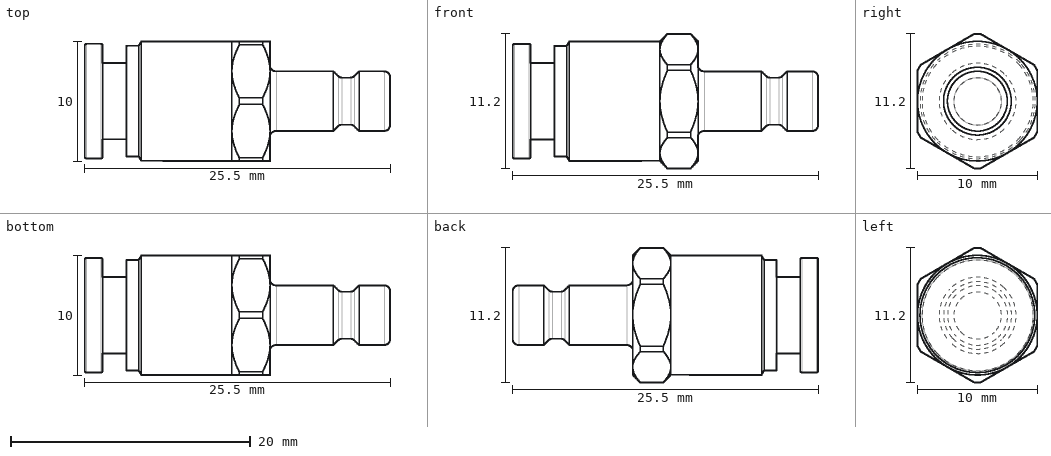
import cadquery as cq
import math

total_length = 25.5
button_end = 1.5
collar_start = 3.47
body_start = 4.51
hex_start = 12.3
hex_end = 15.48
groove_start = 20.75
groove_end = 22.9

button_diameter = 9.6
neck_diameter = 6.4
collar_diameter = 9.25
body_diameter = 10.0
hex_across_flats = body_diameter
hex_corner_diameter = 11.25
stem_diameter = 5.0
groove_diameter = 3.95

button_fillet = 0.15
collar_fillet = 0.08
body_cone_slope = math.radians(30)
tip_fillet = 0.5
root_length = 0.5
root_rise = 0.33
groove_fillet = 0.43


def cylinder(start, end, diameter):
    """Solid cylinder on the X axis."""
    return cq.Workplane("YZ", origin=(start, 0, 0)).circle(diameter / 2).extrude(end - start)


def make_release_button():
    button = cylinder(0, button_end, button_diameter).edges().fillet(button_fillet)
    neck = cylinder(button_end, collar_start, neck_diameter)
    return button.union(neck)


def make_body():
    collar = cylinder(collar_start, body_start, collar_diameter).faces("<X").edges().fillet(collar_fillet)
    cone_rise = (body_diameter - collar_diameter) / 2
    cone_length = cone_rise * math.tan(body_cone_slope)
    collar_radius = collar_diameter / 2
    body_radius = body_diameter / 2
    body = (
        cq.Workplane("XY")
        .moveTo(body_start, 0)
        .lineTo(body_start, collar_radius)
        .lineTo(body_start + cone_length, body_radius)
        .lineTo(hex_start, body_radius)
        .lineTo(hex_start, 0)
        .close()
        .revolve(360, (0, 0, 0), (1, 0, 0))
    )
    return collar.union(body)


def make_hexagon():
    """Hexagon with flats facing +Y and -Y and corners turned to a chamfered cylinder."""
    width = hex_end - hex_start
    prism = (
        cq.Workplane("YZ", origin=(hex_start, 0, 0))
        .polygon(6, hex_across_flats / math.cos(math.pi / 6))
        .extrude(width)
        .rotate((0, 0, 0), (1, 0, 0), 90)
    )
    corner_chamfer = (hex_corner_diameter - hex_across_flats) / 2
    turned_blank = cylinder(hex_start, hex_end, hex_corner_diameter).edges().chamfer(corner_chamfer)
    return prism.intersect(turned_blank)


def make_plug():
    """Revolved stem with a concave root, a 45 degree sided groove and a rounded tip."""
    stem_radius = stem_diameter / 2
    groove_radius = groove_diameter / 2

    root_radius = (root_length**2 + root_rise**2) / (2 * root_rise)
    root_half_angle = math.asin(root_length / root_radius) / 2
    root_middle = (
        hex_end + root_length - root_radius * math.sin(root_half_angle),
        stem_radius + root_radius * (1 - math.cos(root_half_angle)),
    )

    fillet_length = groove_fillet * math.sin(math.pi / 4)
    fillet_rise = groove_fillet * (1 - math.cos(math.pi / 4))
    middle_length = groove_fillet * math.sin(math.pi / 8)
    middle_rise = groove_fillet * (1 - math.cos(math.pi / 8))
    side_length = stem_radius - groove_radius - fillet_rise
    floor_start = groove_start + side_length + fillet_length
    floor_end = groove_end - side_length - fillet_length

    profile = (
        cq.Workplane("XY")
        .moveTo(hex_end, 0)
        .lineTo(hex_end, stem_radius + root_rise)
        .threePointArc(root_middle, (hex_end + root_length, stem_radius))
        .lineTo(groove_start, stem_radius)
        .lineTo(groove_start + side_length, groove_radius + fillet_rise)
        .threePointArc(
            (floor_start - middle_length, groove_radius + middle_rise),
            (floor_start, groove_radius),
        )
        .lineTo(floor_end, groove_radius)
        .threePointArc(
            (floor_end + middle_length, groove_radius + middle_rise),
            (floor_end + fillet_length, groove_radius + fillet_rise),
        )
        .lineTo(groove_end, stem_radius)
        .lineTo(total_length, stem_radius)
        .lineTo(total_length, 0)
        .close()
    )
    plug = profile.revolve(360, (0, 0, 0), (1, 0, 0))
    return plug.faces(">X").edges().fillet(tip_fillet)


result = make_release_button().union(make_body()).union(make_hexagon()).union(make_plug())